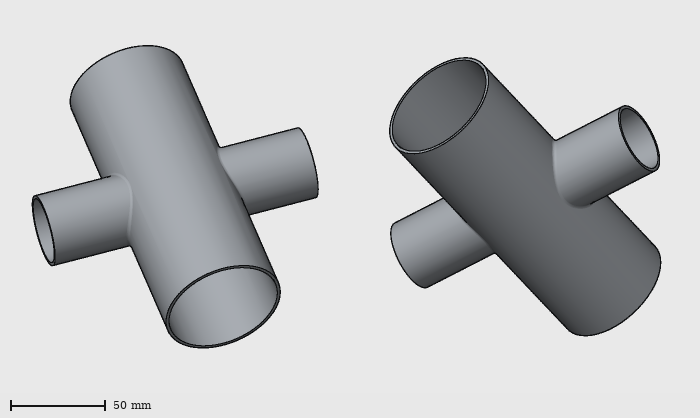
import cadquery as cq

run_length = 158.8
run_outer_diameter = 63.5
run_inner_diameter = 60.2

branch_span = 146.0
branch_outer_diameter = 38.1
branch_inner_diameter = 34.8

weld_fillet_radius = 1.6


def run_cylinder(diameter):
    """Cylinder along X with the full length of the main tube, centred on the origin."""
    return cq.Workplane("YZ").circle(diameter / 2).extrude(run_length / 2, both=True)


def branch_cylinder(diameter):
    """Cylinder along Y from one branch end to the other, centred on the origin."""
    return cq.Workplane("XZ").circle(diameter / 2).extrude(branch_span / 2, both=True)


def select_junction_edges(body):
    """Select the saddle-shaped edges between the branches and the main tube.

    They are the only edges wholly inside a box that encloses the crossing but
    not the tube ends.
    """
    half_x = branch_outer_diameter
    half_yz = run_outer_diameter / 2 + weld_fillet_radius
    junction_box = cq.selectors.BoxSelector(
        (-half_x, -half_yz, -half_yz),
        (half_x, half_yz, half_yz),
        boundingbox=True,
    )
    return body.edges(junction_box)


outer_body = run_cylinder(run_outer_diameter).union(branch_cylinder(branch_outer_diameter))
outer_body = select_junction_edges(outer_body).fillet(weld_fillet_radius)

result = outer_body.cut(run_cylinder(run_inner_diameter)).cut(branch_cylinder(branch_inner_diameter))